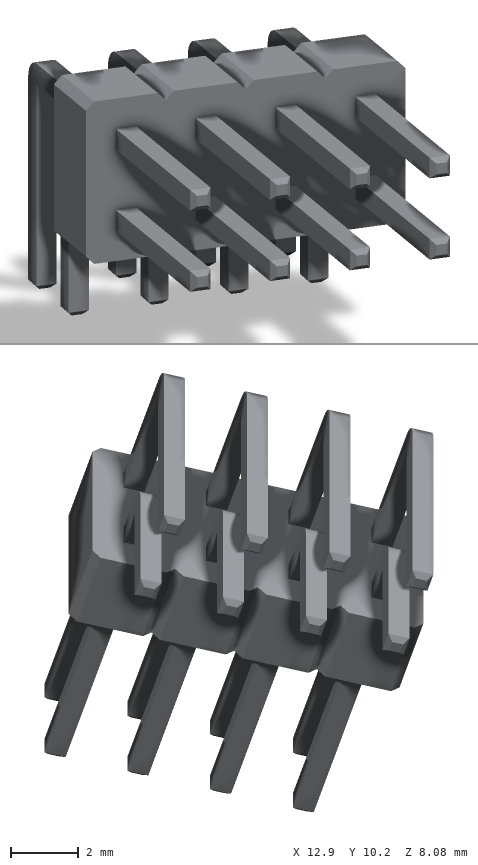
import cadquery as cq

columns = 4
rows = 2
pitch = 2.54
total_length = 12.9
total_height = 8.08
body_start = 4.36
corner_cut = 0.26
pin_width = 0.65
tip_length = 0.15
tip_inset = 0.15

body_length = pitch
body_height = rows * pitch
body_bottom = total_height - body_height
tip_width = pin_width - 2 * tip_inset


def column_y(column):
    """Y position of a column of pins."""
    return (column - (columns - 1) / 2) * pitch


def make_segment(column):
    """One pin pair's share of the body, an octagon with chamfered long edges."""
    return (
        cq.Workplane("XY")
        .box(body_length, pitch, body_height, centered=(False, True, False))
        .edges("|X")
        .chamfer(corner_cut)
        .translate((body_start, column_y(column), body_bottom))
    )


def make_tip(plane):
    """Tapered pin end that grows along the normal of the plane."""
    return (
        cq.Workplane(plane)
        .rect(pin_width, pin_width)
        .workplane(offset=tip_length)
        .rect(tip_width, tip_width)
        .loft()
    )


def make_pin(row, y):
    """Bent pin with its leg down and its contact along +X; row 0 is the top row."""
    leg_x = row * pitch
    axis_z = total_height - (row + 0.5) * pitch
    top_z = axis_z + pin_width / 2
    shaft_end = total_length - tip_length

    shaft = (
        cq.Workplane("XZ", origin=(0, y, 0))
        .moveTo(leg_x, tip_length)
        .lineTo(leg_x, top_z - pin_width)
        .radiusArc((leg_x + pin_width, top_z), pin_width)
        .lineTo(shaft_end, top_z)
        .lineTo(shaft_end, top_z - pin_width)
        .lineTo(leg_x + pin_width, top_z - pin_width)
        .lineTo(leg_x + pin_width, tip_length)
        .close()
        .extrude(pin_width / 2, both=True)
    )
    leg_center = (leg_x + pin_width / 2, y, tip_length)
    leg_tip = make_tip(cq.Plane(leg_center, xDir=(1, 0, 0), normal=(0, 0, -1)))
    contact_tip = make_tip(cq.Plane((shaft_end, y, axis_z), xDir=(0, 1, 0), normal=(1, 0, 0)))
    return shaft.union(leg_tip).union(contact_tip)


result = make_segment(0)
for column in range(1, columns):
    result = result.union(make_segment(column))
result = result.clean()

for column in range(columns):
    for row in range(rows):
        result = result.union(make_pin(row, column_y(column)))